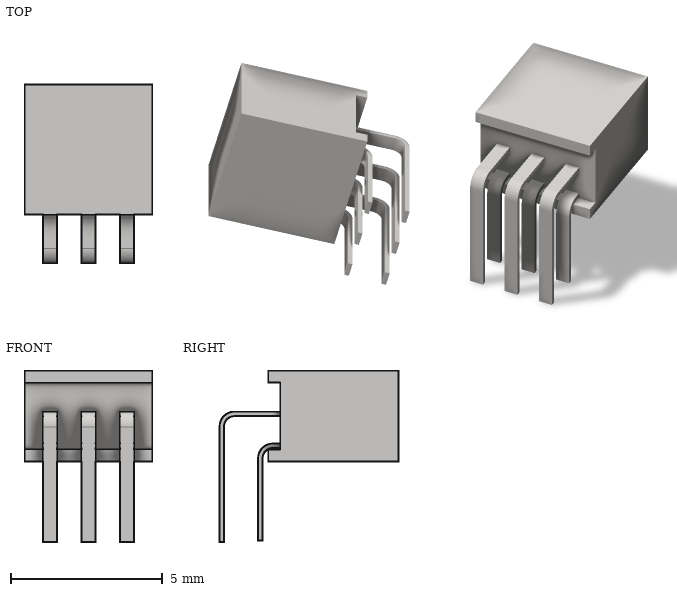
import cadquery as cq

total_depth = 5.9
total_height = 5.65

housing_width = 4.21
housing_height = 3.0
lip_length = 0.395
lip_thickness = 0.4

pin_pitch = 1.27
pins_per_row = 3
pin_width = 0.47
pin_thickness = 0.155
bend_radius = 0.495

upper_reach = 2.0
upper_top = 1.645
upper_tip = housing_height - total_height

lower_reach = upper_reach - pin_pitch
lower_top = 0.595
tip_step = 0.05
lower_tip = upper_tip + tip_step

back_y = total_depth - upper_reach


def make_housing():
    """Block with a lip along the top and bottom edges of its pin wall."""
    depth = back_y + lip_length
    block = cq.Workplane("XY").box(housing_width, depth, housing_height, centered=(True, False, False))
    block = block.translate((0, -lip_length, 0))
    recess_height = housing_height - 2 * lip_thickness
    recess = cq.Workplane("XY").box(housing_width, lip_length, recess_height, centered=(True, False, False))
    return block.cut(recess.translate((0, -lip_length, lip_thickness)))


def make_pin(x, reach, top, tip):
    """Bent pin centred on x, running out from the wall and down to its tip."""
    inner_radius = bend_radius - pin_thickness
    bend_y = bend_radius - reach
    bend_z = top - bend_radius
    return (
        cq.Workplane("YZ", origin=(x, 0, 0))
        .moveTo(0, top)
        .lineTo(bend_y, top)
        .radiusArc((-reach, bend_z), -bend_radius)
        .lineTo(-reach, tip)
        .lineTo(-reach + pin_thickness, tip)
        .lineTo(-reach + pin_thickness, bend_z)
        .radiusArc((bend_y, top - pin_thickness), inner_radius)
        .lineTo(0, top - pin_thickness)
        .close()
        .extrude(pin_width / 2, both=True)
    )


housing = make_housing()
upper_pins = []
lower_pins = []
for i in range(pins_per_row):
    pin_x = (i - (pins_per_row - 1) / 2) * pin_pitch
    upper_pins.append(make_pin(pin_x, upper_reach, upper_top, upper_tip).val())
    lower_pins.append(make_pin(pin_x, lower_reach, lower_top, lower_tip).val())

result = cq.Compound.makeCompound([housing.val(), *upper_pins, *lower_pins])